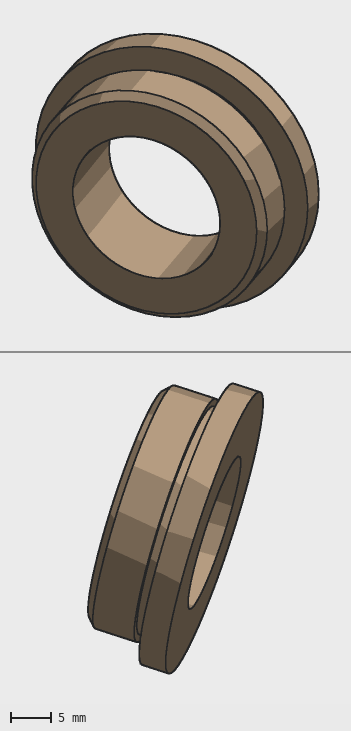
import cadquery as cq

flange_diameter = 37.0
total_length = 11.5

flange_thickness = 3.5
groove_width = 1.5
body_diameter = 32.0
nose_chamfer = 1.0
groove_diameter = 30.0
bore_diameter = 20.0

body_length = total_length - flange_thickness - groove_width


def disc(diameter, thickness, front_y):
    """Solid disc on the Y axis that extends from front_y toward +Y."""
    plane = cq.Workplane("XZ", origin=(0, front_y, 0))
    return plane.circle(diameter / 2).extrude(-thickness)


body = disc(body_diameter, body_length, 0).faces("<Y").edges().chamfer(nose_chamfer)

groove_floor = disc(groove_diameter, groove_width, body_length)

flange = disc(flange_diameter, flange_thickness, body_length + groove_width)

bore = disc(bore_diameter, total_length, 0)

result = body.union(groove_floor).union(flange).cut(bore)